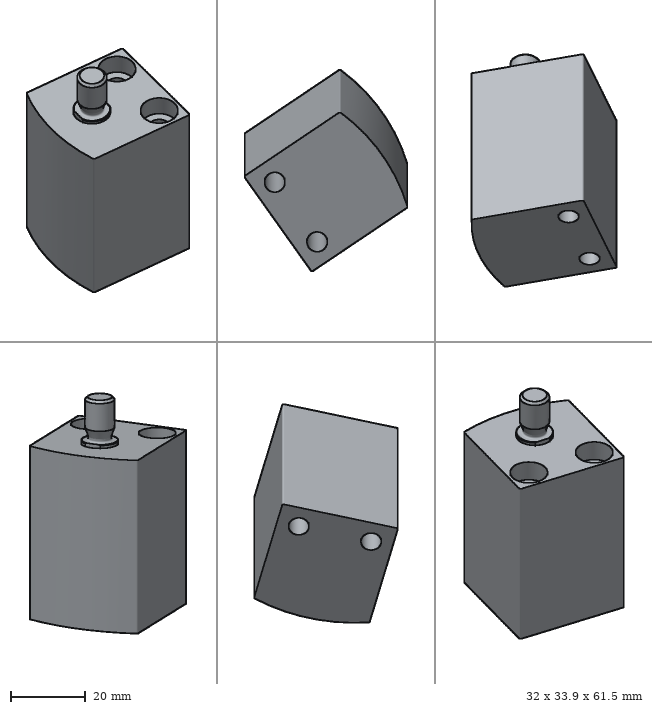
import cadquery as cq
import math

TOTAL_HEIGHT = 61.5
HOUSING_HEIGHT = 48.5

HOUSING_WIDTH = 32.0
BACK_Y = 20.9
FRONT_Y = -13.0
FRONT_RADIUS = 50.0
CORNER_RADIUS = 0.5

HOLE_SPACING = 20.0
HOLE_Y = 15.0
HOLE_DIAMETER = 5.5
COUNTERBORE_DIAMETER = 10.0
COUNTERBORE_DEPTH = 5.7

PIN_DIAMETER = 8.0
PIN_CHAMFER = 0.75
PIN_LENGTH = 8.5
TAPER_LENGTH = 2.45
NECK_DIAMETER = 6.2
NECK_FILLET = 0.5
FLANGE_DIAMETER = 10.0
FLANGE_HEIGHT = 1.0
FLANGE_SEAT_DEPTH = 2.0
FLANGE_CHAMFER = 0.2
FLANGE_ACROSS_FLATS = 9.0


def make_housing():
    """Block with a bowed front face and two counterbored through holes and a pin recess."""
    half_width = HOUSING_WIDTH / 2
    bow_depth = FRONT_RADIUS - math.sqrt(FRONT_RADIUS**2 - half_width**2)
    front_corner_y = FRONT_Y + bow_depth
    block = (
        cq.Workplane("XY")
        .moveTo(-half_width, BACK_Y)
        .lineTo(-half_width, front_corner_y)
        .threePointArc((0, FRONT_Y), (half_width, front_corner_y))
        .lineTo(half_width, BACK_Y)
        .close()
        .extrude(HOUSING_HEIGHT)
        .edges("|Z")
        .fillet(CORNER_RADIUS)
    )
    hole_centres = [(side * HOLE_SPACING / 2, HOLE_Y) for side in (-1, 1)]
    drilled = (
        block.faces(">Z")
        .workplane(origin=(0, 0, HOUSING_HEIGHT))
        .pushPoints(hole_centres)
        .cboreHole(HOLE_DIAMETER, COUNTERBORE_DIAMETER, COUNTERBORE_DEPTH)
    )
    recess = (
        cq.Workplane("XY", origin=(0, 0, HOUSING_HEIGHT - FLANGE_SEAT_DEPTH))
        .circle(FLANGE_DIAMETER / 2)
        .extrude(FLANGE_SEAT_DEPTH)
    )
    return drilled.cut(recess)


def make_flange():
    """Chamfered disc with a flat on its front and back, seated in the housing recess."""
    seat_z = HOUSING_HEIGHT - FLANGE_SEAT_DEPTH
    thickness = FLANGE_SEAT_DEPTH + FLANGE_HEIGHT
    disc = (
        cq.Workplane("XY", origin=(0, 0, seat_z))
        .circle(FLANGE_DIAMETER / 2)
        .extrude(thickness)
        .faces(">Z")
        .chamfer(FLANGE_CHAMFER)
    )
    flats = cq.Workplane("XY", origin=(0, 0, seat_z)).box(
        FLANGE_DIAMETER, FLANGE_ACROSS_FLATS, thickness, centered=(True, True, False)
    )
    return disc.intersect(flats)


def make_pin():
    """Turned pin: flange, filleted neck, taper and chamfered cylinder."""
    pin_radius = PIN_DIAMETER / 2
    neck_radius = NECK_DIAMETER / 2
    flange_top = HOUSING_HEIGHT + FLANGE_HEIGHT
    taper_top = TOTAL_HEIGHT - PIN_LENGTH
    neck_top = taper_top - TAPER_LENGTH
    shank = (
        cq.Workplane("XZ")
        .moveTo(0, flange_top)
        .lineTo(neck_radius, flange_top)
        .lineTo(neck_radius, neck_top)
        .lineTo(pin_radius, taper_top)
        .lineTo(pin_radius, TOTAL_HEIGHT - PIN_CHAMFER)
        .lineTo(pin_radius - PIN_CHAMFER, TOTAL_HEIGHT)
        .lineTo(0, TOTAL_HEIGHT)
        .close()
        .revolve(360, (0, 0, 0), (0, 1, 0))
    )
    neck_ends = cq.selectors.RadiusNthSelector(0)
    return make_flange().union(shank).edges(neck_ends).fillet(NECK_FILLET)


housing = make_housing()
pin = make_pin()

result = cq.Compound.makeCompound([housing.val(), pin.val()])